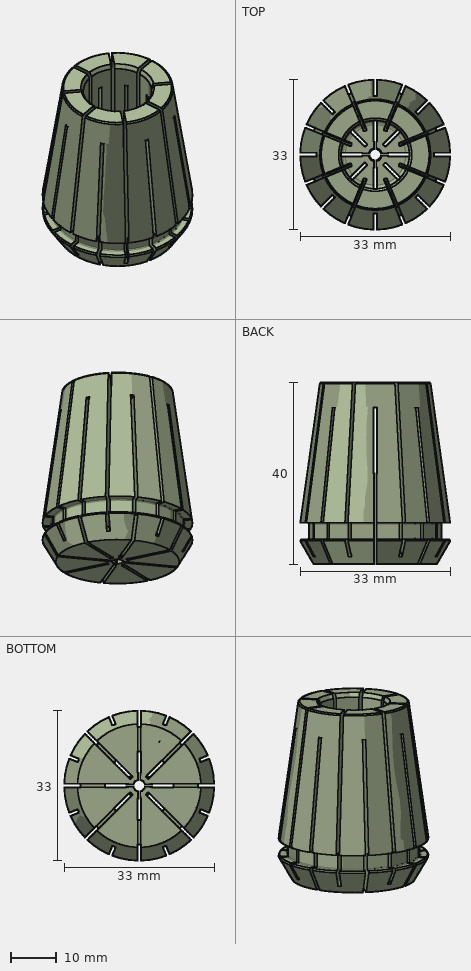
import cadquery as cq
import math

total_height = 40.0
max_radius = 16.5
taper_angle = math.radians(8)
nose_angle = math.radians(30)

nose_height = 5.1
flange_top = 5.5
flange_chamfer_width = 0.25
groove_radius = 14.6
groove_fillet = 0.2
taper_start = 9.1
rim_chamfer = 0.3
nose_radius = max_radius - nose_height * math.tan(nose_angle)
taper_top_radius = max_radius - (total_height - taper_start) * math.tan(taper_angle)

bore_radius = 7.5
bore_floor = 20.0
bore_floor_fillet = 0.85
mouth_radius = 8.05
mouth_angle = math.radians(30)
mouth_depth = (mouth_radius - bore_radius) / math.tan(mouth_angle)
hole_radius = 1.25
hole_chamfer = 0.2

slot_count = 8
slot_pitch = 360 / slot_count
slot_width = 0.75
slot_reach = max_radius + 1.0

upper_slot_inner = 5.65
upper_floor_radius = 23.6
upper_slot_fillet = 0.25

lower_slot_inner = 2.4
lower_slot_top = 34.4
lower_curve_start = 15.0
lower_curve_radius = 28.0

slit_width = 0.45


def make_body():
    """Turned outside: nose cone, locking groove, long taper."""
    body = (
        cq.Workplane("XZ")
        .lineTo(nose_radius, 0)
        .lineTo(max_radius, nose_height)
        .lineTo(max_radius - flange_chamfer_width, flange_top)
        .lineTo(groove_radius + groove_fillet, flange_top)
        .radiusArc((groove_radius, flange_top + groove_fillet), groove_fillet)
        .lineTo(groove_radius, taper_start - groove_fillet)
        .radiusArc((groove_radius + groove_fillet, taper_start), groove_fillet)
        .lineTo(max_radius, taper_start)
        .lineTo(taper_top_radius, total_height)
        .lineTo(0, total_height)
        .close()
        .revolve(360, (0, 0, 0), (0, 1, 0))
    )
    return body.faces(">Z").chamfer(rim_chamfer)


def make_bore():
    """Stepped bore: flared mouth, wide bore with rounded floor corner, small chamfered hole."""
    corner_radius = bore_radius - bore_floor_fillet
    return (
        cq.Workplane("XZ")
        .lineTo(hole_radius, 0)
        .lineTo(hole_radius, bore_floor - hole_chamfer)
        .lineTo(hole_radius + hole_chamfer, bore_floor)
        .lineTo(corner_radius, bore_floor)
        .radiusArc((bore_radius, bore_floor + bore_floor_fillet), -bore_floor_fillet)
        .lineTo(bore_radius, total_height - mouth_depth)
        .lineTo(mouth_radius, total_height)
        .lineTo(0, total_height)
        .close()
        .revolve(360, (0, 0, 0), (0, 1, 0))
    )


def make_upper_slot():
    """Slot along +X whose inner end bends at the bore floor into an arc-shaped floor."""
    floor_run = upper_floor_radius - (slot_reach - upper_slot_inner)
    floor_end = bore_floor - math.sqrt(upper_floor_radius**2 - floor_run**2)
    slot = (
        cq.Workplane("XZ")
        .moveTo(upper_slot_inner, total_height)
        .lineTo(upper_slot_inner, bore_floor)
        .radiusArc((slot_reach, floor_end), -upper_floor_radius)
        .lineTo(slot_reach, total_height)
        .close()
        .extrude(slot_width / 2, both=True)
    )
    end_edges = slot.faces("<X").edges("|Z")
    return end_edges.fillet(upper_slot_fillet)


def make_lower_slot():
    """Slot along +X whose inner end is upright, then curves outwards up to the bore floor."""
    curve_rise = bore_floor - lower_curve_start
    curve_run = lower_curve_radius - math.sqrt(lower_curve_radius**2 - curve_rise**2)
    curve_end = lower_slot_inner + curve_run
    return (
        cq.Workplane("XZ")
        .moveTo(lower_slot_inner, 0)
        .lineTo(lower_slot_inner, lower_curve_start)
        .radiusArc((curve_end, bore_floor), lower_curve_radius)
        .lineTo(curve_end, lower_slot_top)
        .lineTo(slot_reach, lower_slot_top)
        .lineTo(slot_reach, 0)
        .close()
        .extrude(slot_width / 2, both=True)
    )


def make_slit():
    """Thin slit along X, from one lower slot across the small hole to the opposite one."""
    slit_length = 2 * (lower_slot_inner + slot_width)
    return cq.Workplane("XY").box(slit_length, slit_width, bore_floor, centered=(True, True, False))


def turned(shape, angle):
    """Shape rotated about the collet axis by an angle in degrees."""
    return shape.rotate((0, 0, 0), (0, 0, 1), angle)


result = make_body().cut(make_bore())

upper_slot = make_upper_slot()
lower_slot = make_lower_slot()
for index in range(slot_count):
    slot_angle = index * slot_pitch
    result = result.cut(turned(lower_slot, slot_angle))
    result = result.cut(turned(upper_slot, slot_angle + slot_pitch / 2))

slit = make_slit()
for slit_angle in (0, 90):
    result = result.cut(turned(slit, slit_angle))